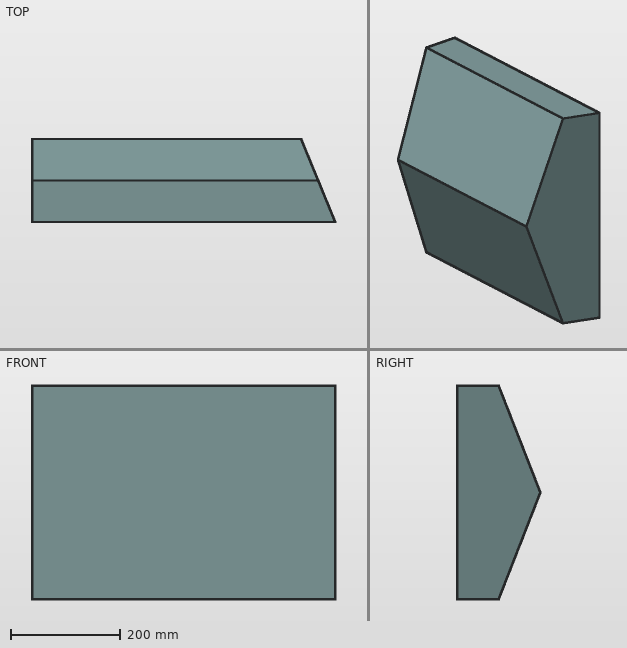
import cadquery as cq

length = 555.0
depth = 152.5
height = 390.5

edge_depth = depth / 2
end_setback = 62.5

profile = [
    (0, 0),
    (edge_depth, 0),
    (depth, height / 2),
    (edge_depth, height),
    (0, height),
]
body = cq.Workplane("YZ").polyline(profile).close().extrude(length)

end_wedge = (
    cq.Workplane("XY")
    .polyline([(length, 0), (length, depth), (length - end_setback, depth)])
    .close()
    .extrude(height)
)

result = body.cut(end_wedge)